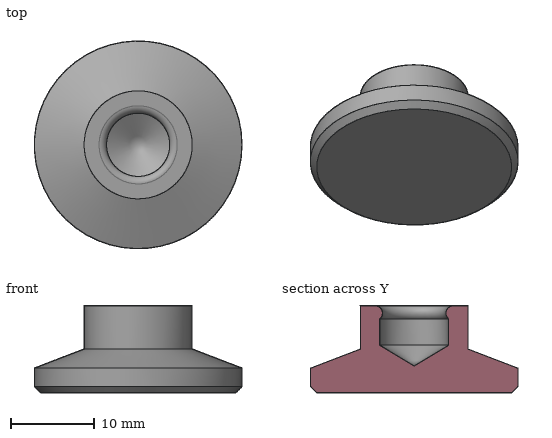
import cadquery as cq
import math

flange_diameter = 25.0
edge_chamfer = 0.78
rim_top = 3.0
cone_top = 5.3

stem_diameter = 13.0
total_height = 10.5

throat_diameter = 7.6
bore_diameter = 8.25
lip_radius = 0.9
bore_depth = 4.75
drill_point_angle = 118.0

flange_radius = flange_diameter / 2
stem_radius = stem_diameter / 2
throat_radius = throat_diameter / 2
bore_radius = bore_diameter / 2
bore_floor = total_height - bore_depth
drill_tip = bore_floor - bore_radius / math.tan(math.radians(drill_point_angle / 2))

lip_center_radius = throat_radius + lip_radius
lip_center_height = total_height - lip_radius
lip_drop = math.sqrt(lip_radius**2 - (lip_center_radius - bore_radius) ** 2)
bore_top = lip_center_height - lip_drop

half_section = (
    cq.Workplane("XZ")
    .moveTo(0, drill_tip)
    .lineTo(bore_radius, bore_floor)
    .lineTo(bore_radius, bore_top)
    .threePointArc((throat_radius, lip_center_height), (lip_center_radius, total_height))
    .lineTo(stem_radius, total_height)
    .lineTo(stem_radius, cone_top)
    .lineTo(flange_radius, rim_top)
    .lineTo(flange_radius, edge_chamfer)
    .lineTo(flange_radius - edge_chamfer, 0)
    .lineTo(0, 0)
    .close()
)

result = half_section.revolve(360, (0, 0, 0), (0, 1, 0))